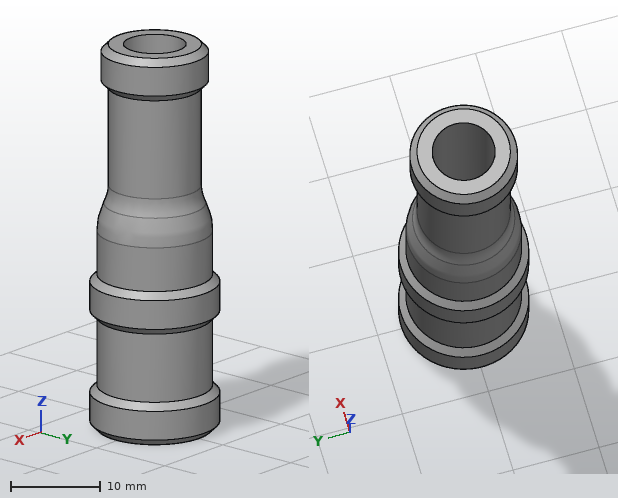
import cadquery as cq
import math

length = 45.0
bore_radius = 3.5
body_radius = 6.5
neck_radius = 5.2
chamfer = 0.8
body_collar_radius = body_radius + chamfer
neck_collar_radius = neck_radius + chamfer
collar_height = 5.0
middle_collar_bottom = 13.0
shoulder_bottom = 23.15
shoulder_top = 28.5
shoulder_joint = 26.35


def cylinder(radius, bottom, top):
    """Solid cylinder on the Z axis between two heights."""
    return cq.Workplane("XY").workplane(offset=bottom).circle(radius).extrude(top - bottom)


def collar(radius, bottom):
    """Raised ring with both rims chamfered."""
    return cylinder(radius, bottom, bottom + collar_height).faces("|Z").edges().chamfer(chamfer)


def shoulder():
    """S-shaped shoulder: two arcs tangent to each other, to the body and to the neck."""
    rise = shoulder_top - shoulder_bottom
    half_sweep = math.atan((body_radius - neck_radius) / rise)
    lower_rise = shoulder_joint - shoulder_bottom
    joint_radius = body_radius - lower_rise * math.tan(half_sweep)
    lower_arc_radius = lower_rise / math.sin(2 * half_sweep)
    upper_arc_radius = (shoulder_top - shoulder_joint) / math.sin(2 * half_sweep)
    lower_middle = (
        body_radius - lower_arc_radius * (1 - math.cos(half_sweep)),
        shoulder_bottom + lower_arc_radius * math.sin(half_sweep),
    )
    upper_middle = (
        neck_radius + upper_arc_radius * (1 - math.cos(half_sweep)),
        shoulder_top - upper_arc_radius * math.sin(half_sweep),
    )
    return (
        cq.Workplane("XZ")
        .moveTo(0, shoulder_bottom)
        .lineTo(body_radius, shoulder_bottom)
        .threePointArc(lower_middle, (joint_radius, shoulder_joint))
        .threePointArc(upper_middle, (neck_radius, shoulder_top))
        .lineTo(0, shoulder_top)
        .close()
        .revolve(360, (0, 0, 0), (0, 1, 0))
    )


sleeve = cylinder(body_radius, 0, shoulder_bottom)
sleeve = sleeve.union(shoulder())
sleeve = sleeve.union(cylinder(neck_radius, shoulder_top, length))

sleeve = sleeve.union(collar(body_collar_radius, 0))
sleeve = sleeve.union(collar(body_collar_radius, middle_collar_bottom))
sleeve = sleeve.union(collar(neck_collar_radius, length - collar_height))

result = sleeve.cut(cylinder(bore_radius, 0, length))